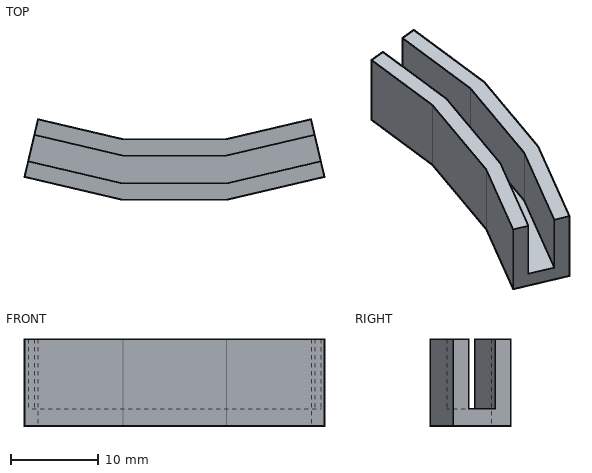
import cadquery as cq
import math

length = 34.47
height = 10.0
depth = 7.0
wall = 1.9
floor = 2.0
middle_length = 11.93
bend_angle = 13.2

half_length = length / 2
half_middle = middle_length / 2
slope = math.tan(math.radians(bend_angle))
arm_run = half_length - half_middle


def edge_end(offset):
    """Right-hand end of the bent edge that crosses the middle at Y = offset.

    The end face is square to the arm, so higher edges end nearer the middle.
    """
    angle = math.radians(bend_angle)
    run = arm_run - offset * math.sin(angle) * math.cos(angle)
    return (half_middle + run, offset + run * slope)


def bent_band(front, back, bottom):
    """Three-segment band between two bent edges, from bottom up to the top."""
    front_x, front_y = edge_end(front)
    back_x, back_y = edge_end(back)
    outline = [
        (-front_x, front_y),
        (-half_middle, front),
        (half_middle, front),
        (front_x, front_y),
        (back_x, back_y),
        (half_middle, back),
        (-half_middle, back),
        (-back_x, back_y),
    ]
    return (
        cq.Workplane("XY")
        .workplane(offset=bottom)
        .polyline(outline)
        .close()
        .extrude(height - bottom)
    )


body = bent_band(0, depth, 0)

slot = bent_band(wall, depth - wall, floor)

result = body.cut(slot)